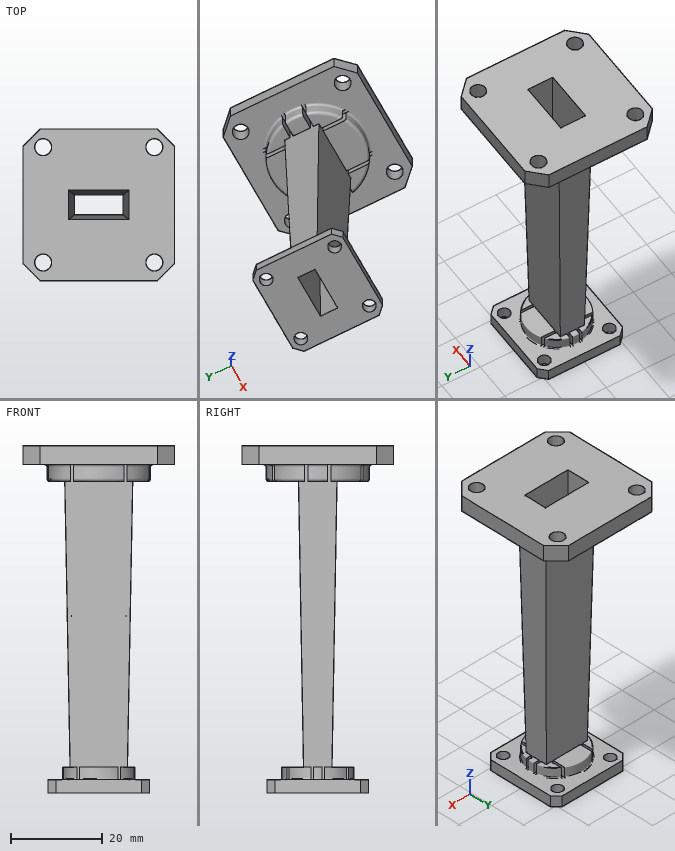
import cadquery as cq

length = 76.2
joint_overlap = 0.8

bore_top = (13.25, 6.5)
bore_bottom = (10.6, 4.3)
tube_top = (15.25, 8.8)
tube_bottom = (12.4, 6.1)

large_side = 33.3
large_thickness = 4.2
large_corner = 3.8
large_hole_diameter = 3.65
large_hole_spacing = (24.4, 25.3)
large_boss_diameter = 22.7
large_boss_height = 3.7
large_root_radius = 0.5
large_rim_radius = 0.7
large_groove_width = 0.8
large_groove_offsets = (5.9, 2.5)

small_side = 22.3
small_thickness = 3.0
small_corner = 1.8
small_hole_diameter = 3.0
small_hole_spacing = (16.2, 17.0)
small_boss_diameter = 15.85
small_boss_height = 2.75
small_root_radius = 0.2
small_rim_radius = 0.15
small_groove_width = 0.6
small_groove_offsets = (4.5, 1.2)


def tapered_prism(bottom, top):
    """Rectangular prism running the full length between two end sections."""
    return cq.Workplane("XY").rect(*bottom).workplane(offset=length).rect(*top).loft(ruled=True)


def grooved_boss(diameter, height, root_radius, rim_radius, groove_width, groove_offsets):
    """Round boss standing on Z = 0, crossed by two pairs of full-height grooves."""
    root = cq.Workplane("XY").circle(diameter / 2 + root_radius).extrude(-joint_overlap)
    boss = root.union(cq.Workplane("XY").circle(diameter / 2).extrude(height))
    boss = boss.faces(">Z").edges().fillet(rim_radius)
    cove = (
        cq.Workplane("XZ")
        .moveTo(diameter / 2, 0)
        .lineTo(diameter / 2 + root_radius, 0)
        .radiusArc((diameter / 2, root_radius), root_radius)
        .close()
        .revolve(360, (0, 0), (0, 1))
    )
    boss = boss.union(cove)
    reach = 2 * diameter
    offset_x, offset_y = groove_offsets
    for side in (-1, 1):
        along_y = cq.Workplane("XY").center(side * offset_x, 0).rect(groove_width, reach)
        along_x = cq.Workplane("XY").center(0, side * offset_y).rect(reach, groove_width)
        boss = boss.cut(along_y.extrude(height)).cut(along_x.extrude(height))
    return boss


def flange(side, thickness, corner, hole_diameter, hole_spacing):
    """Square plate on Z = 0 with cut corners and a hole near each corner."""
    plate = cq.Workplane("XY").rect(side, side).extrude(thickness).edges("|Z").chamfer(corner)
    hole_centers = plate.faces(">Z").workplane().rect(*hole_spacing, forConstruction=True).vertices()
    return hole_centers.hole(hole_diameter)


small_flange = flange(small_side, small_thickness, small_corner, small_hole_diameter, small_hole_spacing)
small_boss = grooved_boss(
    small_boss_diameter,
    small_boss_height,
    small_root_radius,
    small_rim_radius,
    small_groove_width,
    small_groove_offsets,
).translate((0, 0, small_thickness))

large_flange = flange(
    large_side, large_thickness, large_corner, large_hole_diameter, large_hole_spacing
).translate((0, 0, length - large_thickness))
large_boss = grooved_boss(
    large_boss_diameter,
    large_boss_height,
    large_root_radius,
    large_rim_radius,
    large_groove_width,
    large_groove_offsets,
)
large_boss = large_boss.rotate((0, 0, 0), (1, 0, 0), 180).translate((0, 0, length - large_thickness))

tube = tapered_prism(tube_bottom, tube_top)
bore = tapered_prism(bore_bottom, bore_top)

result = small_flange.union(small_boss).union(large_flange).union(large_boss).union(tube).cut(bore)